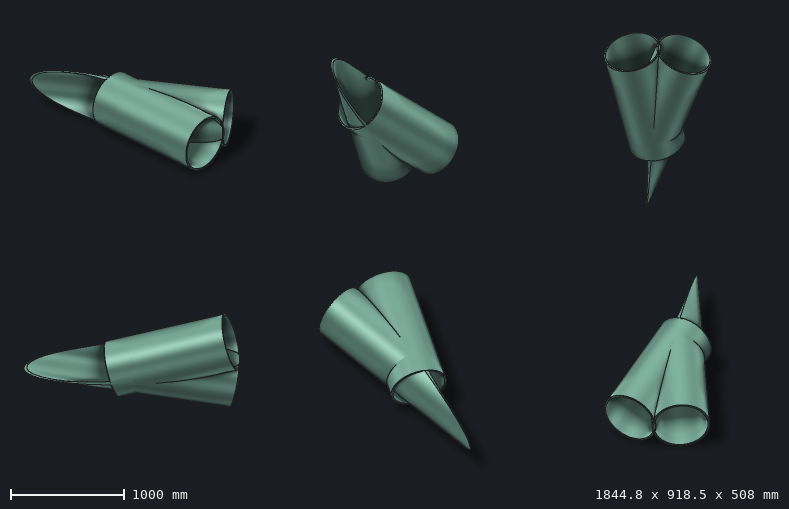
import cadquery as cq
import math

OUTER_DIAMETER = 508.0
INNER_DIAMETER = 477.88
OUTER_RADIUS = OUTER_DIAMETER / 2

RUN_INLET_LENGTH = 203.2
RUN_OUTLET_LENGTH = 889.0
BRANCH_OUTLET_LENGTH = 889.0
BRANCH_ANGLE = 30.0

TIP_DISTANCE = OUTER_RADIUS / math.tan(math.radians(BRANCH_ANGLE / 2))
TRIM_CLEARANCE = OUTER_RADIUS


def cylinder(diameter, start, end):
    """Solid cylinder along X between two stations."""
    return cq.Workplane("YZ", origin=(start, 0, 0)).circle(diameter / 2).extrude(end - start)


def pipe(start, end):
    """Straight pipe along X between two stations."""
    return cylinder(OUTER_DIAMETER, start, end).cut(cylinder(INNER_DIAMETER, start, end))


def turned_to_branch(body):
    """Turn a body lying along X onto the branch axis."""
    return body.rotate((0, 0, 0), (0, 0, 1), BRANCH_ANGLE)


def run_envelope():
    """Everything on the +Y side, closed on the -Y side by the run's outer surface."""
    start = -(TIP_DISTANCE + TRIM_CLEARANCE)
    reach = BRANCH_OUTLET_LENGTH + OUTER_RADIUS
    half_height = OUTER_RADIUS + TRIM_CLEARANCE
    return (
        cq.Workplane("YZ", origin=(start, 0, 0))
        .moveTo(0, -OUTER_RADIUS)
        .lineTo(0, -half_height)
        .lineTo(reach, -half_height)
        .lineTo(reach, half_height)
        .lineTo(0, half_height)
        .lineTo(0, OUTER_RADIUS)
        .threePointArc((-OUTER_RADIUS, 0), (0, -OUTER_RADIUS))
        .close()
        .extrude(reach - start)
    )


def run():
    """Straight pipe whose +Y wall is opened by the branch bore."""
    branch_bore = turned_to_branch(cylinder(INNER_DIAMETER, 0, BRANCH_OUTLET_LENGTH))
    return pipe(-RUN_INLET_LENGTH, RUN_OUTLET_LENGTH).cut(branch_bore)


def branch():
    """Angled pipe that passes through the run and ends on its far outer surface."""
    start = -(TIP_DISTANCE + TRIM_CLEARANCE)
    angled_pipe = turned_to_branch(pipe(start, BRANCH_OUTLET_LENGTH))
    return angled_pipe.intersect(run_envelope())


result = run().union(branch(), clean=False)